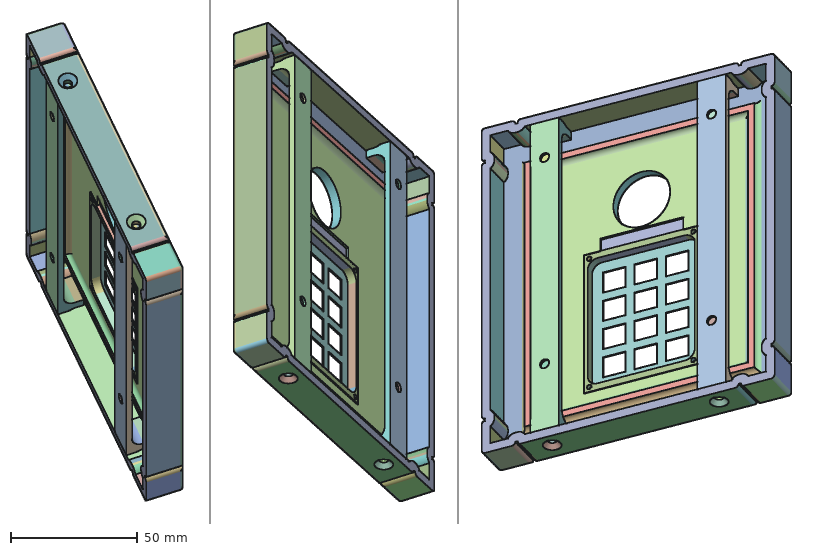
import cadquery as cq
import math

width = 130.0
height = 150.0
depth = 16.0
wall = 3.9
plate = 4.0
edge_radius = 1.5
front_y = -depth / 2
back_y = depth / 2
floor_y = back_y - plate
inner_width = width - 2 * wall
inner_height = height - 2 * wall

groove_inset = 15.5
groove_x = width / 2 - groove_inset
groove_z = height / 2 - groove_inset
groove_floor = 1.0
groove_depth = edge_radius
bead_radius = 3.9
bead_inset = 1.8

ridge_width = 2 * groove_x
ridge_height = 2 * groove_z
ridge_crest = 2.8
ridge_flank = 2.1

opening_diameter = 25.2
opening_z = 31.5

keypad_z = -19.6
frame_width = 51.0
frame_height = 63.8
frame_rise = 0.5
frame_y = floor_y - frame_rise
pocket_width = 47.5
pocket_height = 57.9
pocket_radius = 4.5
web = 0.6
relief_width = 36.9
relief_height = 6.0
relief_depth = 1.0
key_width = 10.0
key_height = 9.3
key_pitch_x = 14.0
key_pitch_z = 13.0
key_columns = 3
key_rows = 4
screw_diameter = 2.0
screw_depth = 2.1
screw_span_x = 46.2
screw_span_z = 59.2

rail_x = 37.0
rail_width = 12.6
rail_thickness = 2.5
leg_thickness = 3.6
leg_fillet = 5.0
leg_reach = 11.1
leg_gap = 0.8
rail_hole_diameter = 4.0
rail_hole_depth = 1.0
rail_hole_heights = (54.3, -41.0)

fixing_height = 6.8
fixing_y = front_y + fixing_height
countersink_diameter = 7.5
wall_hole_diameter = 3.5


def block(size_x, size_z, y_start, y_end, center_z=0.0):
    """Box centred on X, spanning y_start to y_end."""
    return cq.Workplane("XY").box(size_x, y_end - y_start, size_z).translate(
        (0, (y_start + y_end) / 2, center_z)
    )


def cylinder_y(diameter, x, z, y_start, y_end):
    """Cylinder along Y."""
    return cq.Workplane(
        cq.Solid.makeCylinder(diameter / 2, y_end - y_start, cq.Vector(x, y_start, z), cq.Vector(0, 1, 0))
    )


def groove_cutter(plane, length):
    """Groove along the plane normal, open towards its local +Y and with its mouth at the origin."""
    half_floor = groove_floor / 2
    half_mouth = half_floor + groove_depth
    sag = groove_depth * (1 - math.sqrt(0.5))
    return (
        cq.Workplane(plane)
        .moveTo(-half_mouth, 0)
        .threePointArc((-half_floor - sag, -sag), (-half_floor, -groove_depth))
        .lineTo(half_floor, -groove_depth)
        .threePointArc((half_floor + sag, -sag), (half_mouth, 0))
        .close()
        .extrude(length / 2, both=True)
    )


def outer_block():
    """Solid envelope with rounded corners and back edges, grooved on the back and on all four sides."""
    body = block(width, height, front_y, back_y).edges("|Y or >Y").fillet(edge_radius)
    for side in (-1, 1):
        for across in (-1, 1):
            x = side * groove_x
            z = side * groove_z
            top = cq.Plane((x, 0, across * height / 2), xDir=(across, 0, 0), normal=(0, -1, 0))
            flank = cq.Plane((across * width / 2, 0, z), xDir=(0, 0, -across), normal=(0, -1, 0))
            body = body.cut(groove_cutter(top, depth)).cut(groove_cutter(flank, depth))
        back_upright = cq.Plane((side * groove_x, back_y, 0), xDir=(-1, 0, 0), normal=(0, 0, 1))
        back_level = cq.Plane((0, back_y, side * groove_z), xDir=(0, 0, 1), normal=(1, 0, 0))
        body = body.cut(groove_cutter(back_upright, height)).cut(groove_cutter(back_level, width))
    return body


def bead(x, z, angle):
    """Bar with rounded flanks and a flat crest as wide as the groove floor."""
    return (
        cq.Workplane("XZ", origin=(x, floor_y, z))
        .slot2D(groove_floor + 2 * bead_radius, 2 * bead_radius, angle)
        .extrude(floor_y - front_y)
    )


def tray_cavity():
    """Space inside the walls, less the round beads behind the side grooves."""
    cavity = block(inner_width, inner_height, front_y, floor_y)
    bead_x = width / 2 - bead_inset
    bead_z = height / 2 - bead_inset
    for i in (-1, 1):
        for j in (-1, 1):
            cavity = cavity.cut(bead(i * groove_x, j * bead_z, 0))
            cavity = cavity.cut(bead(i * bead_x, j * groove_z, 90))
    return cavity


def ridge():
    """Rectangular ridge whose flanks are concave quarter rounds."""
    half_crest = ridge_crest / 2
    half_foot = half_crest + ridge_flank
    sag = ridge_flank * (1 - math.sqrt(0.5))
    profile = (
        cq.Workplane("XY", origin=(ridge_width / 2, floor_y, 0))
        .moveTo(-half_foot, 0)
        .threePointArc((-half_crest - sag, -sag), (-half_crest, -ridge_flank))
        .lineTo(half_crest, -ridge_flank)
        .threePointArc((half_crest + sag, -sag), (half_foot, 0))
        .close()
    )
    path = cq.Workplane("XZ", origin=(0, floor_y, 0)).rect(ridge_width, ridge_height)
    return profile.sweep(path, transition="right")


def keypad_frame():
    """Low pad around the keypad pocket, standing above the floor."""
    return block(frame_width, frame_height, frame_y, floor_y, keypad_z)


def connector_relief():
    """Shallow recess just above the keypad frame."""
    relief_z = keypad_z + (frame_height + relief_height) / 2
    return block(relief_width, relief_height, floor_y, floor_y + relief_depth, relief_z)


def keypad_cuts():
    """Pocket, key windows and screw holes of the keypad."""
    pocket = block(pocket_width, pocket_height, frame_y, back_y - web, keypad_z)
    cuts = pocket.edges("|Y").fillet(pocket_radius)
    for column in range(key_columns):
        for row in range(key_rows):
            x = (column - (key_columns - 1) / 2) * key_pitch_x
            z = keypad_z + (row - (key_rows - 1) / 2) * key_pitch_z
            cuts = cuts.union(block(key_width, key_height, frame_y, back_y, z).translate((x, 0, 0)))
    for i in (-1, 1):
        for j in (-1, 1):
            x = i * screw_span_x / 2
            z = keypad_z + j * screw_span_z / 2
            cuts = cuts.union(cylinder_y(screw_diameter, x, z, frame_y, frame_y + screw_depth))
    return cuts


def fixing_cutter(x, end):
    """Countersunk screw hole through the top (end = 1) or bottom (end = -1) wall."""
    outer_z = end * height / 2
    hole_radius = wall_hole_diameter / 2
    head_radius = countersink_diameter / 2
    head_depth = head_radius - hole_radius
    inward = cq.Vector(0, 0, -end)
    mouth = cq.Vector(x, fixing_y, outer_z)
    hole = cq.Solid.makeCylinder(hole_radius, wall, mouth, inward)
    head = cq.Solid.makeCone(head_radius, hole_radius, head_depth, mouth, inward)
    return cq.Workplane(hole.fuse(head))


def make_housing():
    body = outer_block().cut(tray_cavity()).union(ridge()).union(keypad_frame())
    body = body.cut(connector_relief()).cut(keypad_cuts())
    body = body.cut(cylinder_y(opening_diameter, 0, opening_z, front_y, back_y))
    for side in (-1, 1):
        for end in (-1, 1):
            body = body.cut(fixing_cutter(side * rail_x, end))
    return body


def make_rail(x):
    """Strap flush with the open side, whose filleted legs reach back along the end walls."""
    strap_back = front_y + rail_thickness
    leg_end = front_y + leg_reach
    leg_start = strap_back + leg_fillet
    strap_end = inner_height / 2
    leg_outer = strap_end - leg_gap
    leg_inner = leg_outer - leg_thickness
    half_sag = leg_fillet * (1 - math.sqrt(0.5))
    outer_angle = math.acos(1 - leg_gap / leg_fillet)
    outer_run = leg_fillet * math.sin(outer_angle)
    middle_run = leg_fillet * math.sin(outer_angle / 2)
    middle_rise = leg_fillet * (1 - math.cos(outer_angle / 2))
    half = (
        cq.Workplane("YZ", origin=(x, 0, 0))
        .moveTo(front_y, 0)
        .lineTo(front_y, strap_end)
        .lineTo(leg_start - outer_run, strap_end)
        .threePointArc((leg_start - middle_run, leg_outer + middle_rise), (leg_start, leg_outer))
        .lineTo(leg_end, leg_outer)
        .lineTo(leg_end, leg_inner)
        .lineTo(leg_start, leg_inner)
        .threePointArc((strap_back + half_sag, leg_inner - half_sag), (strap_back, leg_inner - leg_fillet))
        .lineTo(strap_back, 0)
        .close()
        .extrude(rail_width / 2, both=True)
    )
    rail = half.union(half.mirror("XY")).clean()
    for z in rail_hole_heights:
        rail = rail.cut(cylinder_y(rail_hole_diameter, x, z, front_y, front_y + rail_hole_depth))
    return rail


housing = make_housing()
rails = [make_rail(side * rail_x) for side in (-1, 1)]

result = cq.Compound.makeCompound([housing.val(), *[rail.val() for rail in rails]])